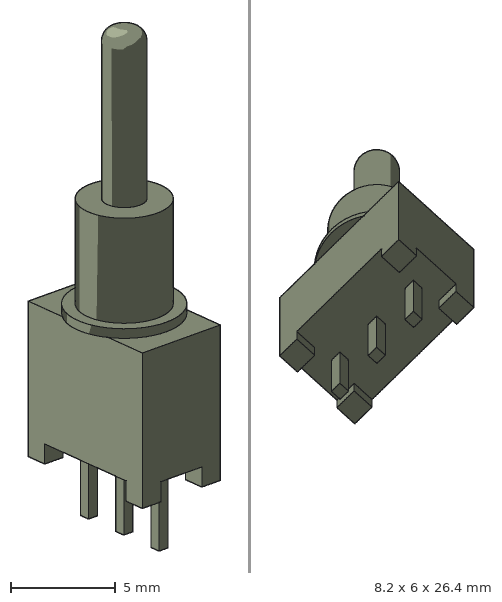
import cadquery as cq

housing_length = 8.2
housing_width = 5.0
housing_bottom = 3.3
housing_top = 11.43
foot_height = 1.05
foot_gap_x = 5.83
foot_gap_y = 2.61

flange_diameter = 6.0
flange_top = 11.93
bushing_diameter = 4.7
bushing_top = 17.42
lever_diameter = 2.2
lever_top = 26.4
lever_tip_radius = 0.75

pin_side = 0.58
pin_pitch = 2.53
pin_count = 3

housing_floor = housing_bottom + foot_height


def block(length, width, bottom, top, x=0):
    """Box centred on (x, 0), between two heights."""
    plane = cq.Workplane("XY", origin=(x, 0, bottom))
    return plane.rect(length, width).extrude(top - bottom)


def cylinder(diameter, bottom, top):
    """Upright cylinder on the Z axis, between two heights."""
    plane = cq.Workplane("XY", origin=(0, 0, bottom))
    return plane.circle(diameter / 2).extrude(top - bottom)


def make_housing():
    """Block with two crossing channels underneath, leaving the corner feet."""
    body = block(housing_length, housing_width, housing_bottom, housing_top)
    channel_along_y = block(foot_gap_x, housing_width, housing_bottom, housing_floor)
    channel_along_x = block(housing_length, foot_gap_y, housing_bottom, housing_floor)
    return body.cut(channel_along_y).cut(channel_along_x)


def make_lever():
    """Round lever with a rounded tip."""
    lever = cylinder(lever_diameter, bushing_top, lever_top)
    return lever.faces(">Z").edges().fillet(lever_tip_radius)


result = make_housing()
result = result.union(cylinder(flange_diameter, housing_top, flange_top))
result = result.union(cylinder(bushing_diameter, flange_top, bushing_top))
result = result.union(make_lever())

for index in range(pin_count):
    pin_x = (index - (pin_count - 1) / 2) * pin_pitch
    result = result.union(block(pin_side, pin_side, 0, housing_floor, pin_x))